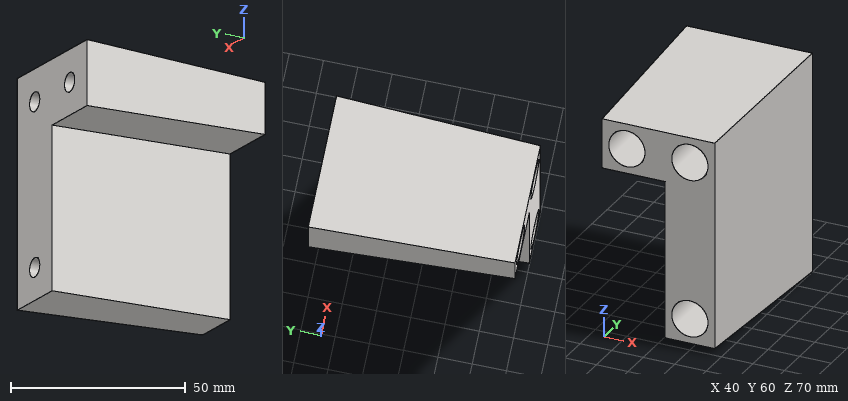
import cadquery as cq
import math

height = 70.0
width = 40.0
depth = 60.0
draft_angle = 2.0

arm_width = width / 2

hole_inset = arm_width / 2
hole_diameter = 5.8
counterbore_diameter = 11.5
floor_under_screw_head = 10.0
counterbore_depth = depth - floor_under_screw_head


def l_outline(inset):
    """Corners of the L with every side moved inward by the inset."""
    left = inset
    right = width - inset
    bottom = inset
    top = height - inset
    inner_side = width - arm_width + inset
    inner_underside = height - arm_width + inset
    return [
        (left, top),
        (right, top),
        (right, bottom),
        (inner_side, bottom),
        (inner_side, inner_underside),
        (left, inner_underside),
    ]


def drafted_body():
    """L-shaped block with flat drafted side walls and sharp corners."""
    front_inset = depth * math.tan(math.radians(draft_angle))
    return (
        cq.Workplane("XZ")
        .polyline(l_outline(0))
        .close()
        .workplane(offset=depth)
        .polyline(l_outline(front_inset))
        .close()
        .loft(ruled=True)
    )


def screw_holes():
    """Cutters for through holes along Y, counterbored from the narrow front face."""
    centres = [
        (hole_inset, height - hole_inset),
        (width - hole_inset, height - hole_inset),
        (width - hole_inset, hole_inset),
    ]
    hole_layout = cq.Workplane("XZ", origin=(0, -depth, 0)).pushPoints(centres)
    through_holes = hole_layout.circle(hole_diameter / 2).extrude(-depth)
    counterbores = hole_layout.circle(counterbore_diameter / 2).extrude(-counterbore_depth)
    return through_holes.union(counterbores)


result = drafted_body().cut(screw_holes())